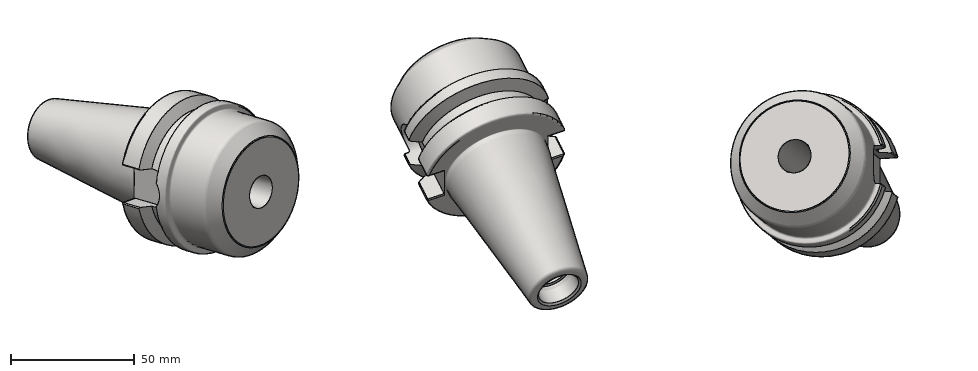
import cadquery as cq
import math

length = 116.2
match_tolerance = 0.01

taper_ratio = 7 / 24
gauge_radius = 44.5 / 2
gauge_x = 65.2
shank_end_radius = gauge_radius - gauge_x * taper_ratio / 2
shank_tip_round = 1.6
shank_root_round = 0.2

flange_radius = 62.9 / 2
flange_start_x = 67.4
flange_end_x = 92.4
flange_front_round = 0.9
flange_back_round = 0.7
groove_radius = 26.7
groove_start_x = 79.6
groove_end_x = 84.2
groove_flank_run = (flange_radius - groove_radius) * math.tan(math.radians(30))

nose_radius = 57.2 / 2
nose_root_round = 0.8
nose_chamfer = 5.2
nose_edge_round = 2.3
nose_rim = 0.2

through_radius = 13.8 / 2
bore_radius = 17.5 / 2
bore_inner_radius = 17.0 / 2
bore_depth = 9.3
bore_step_start_x = 7.3
bore_step_end_x = 8.4
bore_entry_chamfer = 0.8

slot_half_width = 8.0
slot_floor = 22.7
slot_chamfer = 0.5
slot_end_bevel = 0.3
short_slot_end_x = 88.8
long_slot_end_x = 99.2


def revolve_profile(points):
    """Revolve a closed (x, radius) outline about the X axis."""
    return cq.Workplane("XY").polyline(points).close().revolve(360, (0, 0, 0), (1, 0, 0))


def circle_edges_at(body, x, radius):
    """Select the full circular edges at one station and radius."""
    reach = radius + match_tolerance
    low = (x - match_tolerance, -reach, -reach)
    high = (x + match_tolerance, reach, reach)
    box = cq.selectors.BoxSelector(low, high, True)
    edges = body.edges(box).edges("%CIRCLE")
    return edges.filter(lambda edge: abs(edge.radius() - radius) < match_tolerance)


def make_body():
    nose_chamfer_start_x = length - nose_rim - nose_chamfer
    nose_rim_radius = nose_radius - nose_chamfer
    body = revolve_profile([
        (0, 0),
        (0, shank_end_radius),
        (gauge_x, gauge_radius),
        (flange_start_x, gauge_radius),
        (flange_start_x, flange_radius),
        (groove_start_x - groove_flank_run, flange_radius),
        (groove_start_x, groove_radius),
        (groove_end_x, groove_radius),
        (groove_end_x + groove_flank_run, flange_radius),
        (flange_end_x, flange_radius),
        (flange_end_x, nose_radius),
        (nose_chamfer_start_x, nose_radius),
        (length - nose_rim, nose_rim_radius),
        (length, nose_rim_radius - 2 * nose_rim),
        (length, 0),
    ])
    rounds = [
        (0, shank_end_radius, shank_tip_round),
        (flange_start_x, gauge_radius, shank_root_round),
        (flange_start_x, flange_radius, flange_front_round),
        (flange_end_x, flange_radius, flange_back_round),
        (flange_end_x, nose_radius, nose_root_round),
        (nose_chamfer_start_x, nose_radius, nose_edge_round),
    ]
    for x, radius, round_radius in rounds:
        body = circle_edges_at(body, x, radius).fillet(round_radius)
    return body


def make_bore():
    return revolve_profile([
        (0, 0),
        (0, bore_radius + bore_entry_chamfer),
        (bore_entry_chamfer, bore_radius),
        (bore_step_start_x, bore_radius),
        (bore_step_end_x, bore_inner_radius),
        (bore_depth, bore_inner_radius),
        (bore_depth, through_radius),
        (length, through_radius),
        (length, 0),
    ])


def make_slot(end_x, bevel_end_x, side):
    """Round-ended slot cutter on the +Y (side = 1) or -Y (side = -1) face."""
    depth = flange_radius - slot_floor
    arc_x = end_x - slot_half_width
    cutter = (
        cq.Workplane("XZ", origin=(0, side * slot_floor, 0))
        .moveTo(flange_start_x, -slot_half_width)
        .lineTo(arc_x, -slot_half_width)
        .threePointArc((end_x, 0), (arc_x, slot_half_width))
        .lineTo(flange_start_x, slot_half_width)
        .close()
        .extrude(-side * depth)
    )
    mouth_half_width = slot_half_width + slot_chamfer
    front_bevel = (
        cq.Workplane("XZ", origin=(0, side * slot_floor, 0))
        .polyline([
            (flange_start_x, -mouth_half_width),
            (flange_start_x + slot_chamfer, -slot_half_width),
            (flange_start_x + slot_chamfer, slot_half_width),
            (flange_start_x, mouth_half_width),
        ])
        .close()
        .extrude(-side * depth)
    )
    edge_y = math.sqrt(flange_radius**2 - mouth_half_width**2)
    outer_bevel = (
        cq.Workplane("YZ", origin=(flange_start_x, 0, 0))
        .polyline([
            (side * (edge_y - slot_chamfer), -slot_half_width),
            (side * edge_y, -mouth_half_width),
            (side * flange_radius, -mouth_half_width),
            (side * flange_radius, mouth_half_width),
            (side * edge_y, mouth_half_width),
            (side * (edge_y - slot_chamfer), slot_half_width),
        ])
        .close()
        .extrude(bevel_end_x - flange_start_x)
    )
    return cutter.union(front_bevel).union(outer_bevel)


def make_short_slot_end_bevel():
    """Conical cutter that bevels the outer edge around the tip of the short slot."""
    return cq.Workplane(cq.Solid.makeCone(
        slot_half_width,
        slot_half_width + slot_end_bevel,
        slot_end_bevel,
        cq.Vector(short_slot_end_x - slot_half_width, slot_end_bevel - flange_radius, 0),
        cq.Vector(0, -1, 0),
    ))


result = (
    make_body()
    .cut(make_bore())
    .cut(make_slot(short_slot_end_x, groove_start_x, -1))
    .cut(make_short_slot_end_bevel())
    .cut(make_slot(long_slot_end_x, flange_end_x, 1))
)